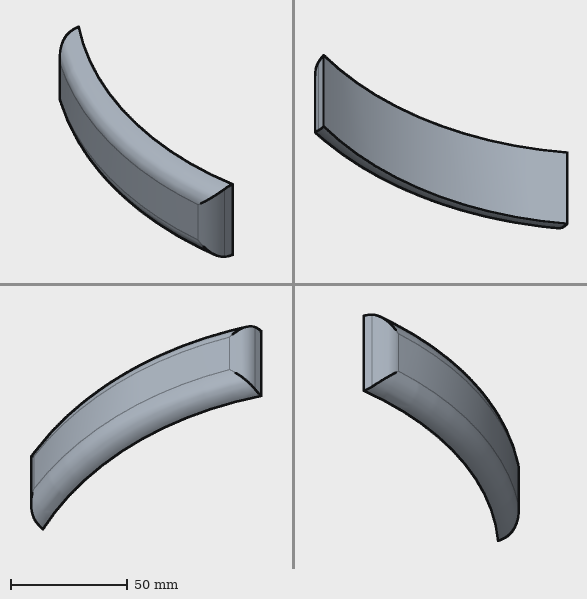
import cadquery as cq
import math

inner_radius = 146.0
thickness = 10.0
height = 40.0
span_angle = 50.0
edge_radius = thickness

outer_radius = inner_radius + thickness
half_height = height / 2
half_length = inner_radius * math.sin(math.radians(span_angle / 2))
corner_y = -inner_radius * math.cos(math.radians(span_angle / 2))

round_path_radius = outer_radius - edge_radius
round_x = half_length - edge_radius
round_y = -math.sqrt(round_path_radius**2 - round_x**2)
tangent_x = round_x * outer_radius / round_path_radius
tangent_y = round_y * outer_radius / round_path_radius

end_round_angle = math.atan2(round_y, round_x) / 2
round_mid_x = round_x + edge_radius * math.cos(end_round_angle)
round_mid_y = round_y + edge_radius * math.sin(end_round_angle)


def make_ring():
    """Full ring around Z with the outer top and bottom edges rounded."""
    diagonal = edge_radius * math.sin(math.radians(45))
    round_r = outer_radius - edge_radius
    round_z = half_height - edge_radius
    section = (
        cq.Workplane("XZ")
        .moveTo(inner_radius, -half_height)
        .threePointArc((round_r + diagonal, -round_z - diagonal), (outer_radius, -round_z))
        .lineTo(outer_radius, round_z)
        .threePointArc((round_r + diagonal, round_z + diagonal), (inner_radius, half_height))
        .close()
    )
    return section.revolve(360, (0, 0, 0), (0, 1, 0))


def make_plan_block():
    """Arched plan outline with flat ends and rounded outer corners, over the full height."""
    return (
        cq.Workplane("XY")
        .workplane(offset=-half_height)
        .moveTo(-half_length, corner_y)
        .lineTo(-half_length, round_y)
        .threePointArc((-round_mid_x, round_mid_y), (-tangent_x, tangent_y))
        .threePointArc((0, -outer_radius), (tangent_x, tangent_y))
        .threePointArc((round_mid_x, round_mid_y), (half_length, round_y))
        .lineTo(half_length, corner_y)
        .threePointArc((0, -inner_radius), (-half_length, corner_y))
        .close()
        .extrude(height)
    )


result = make_ring().intersect(make_plan_block())